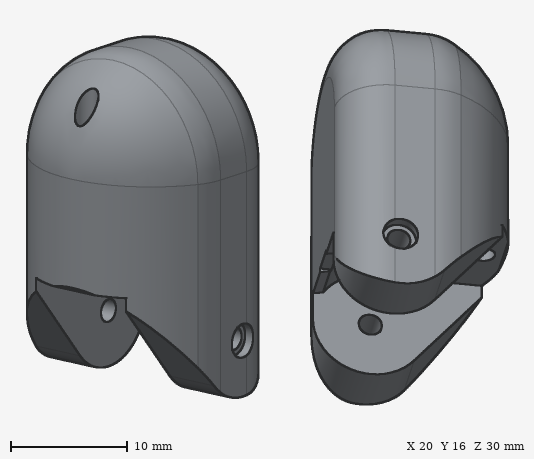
import cadquery as cq
import math

height = 30.0
half_width = height / 3
end_radius = height / 6
back_y = end_radius
depth = 16.0
front_y = back_y - depth
bottom_z = -end_radius
dome_z = bottom_z + height - half_width

back_corner_radius = 4.5
front_corner_radius = end_radius
front_corner_y = -3.0

slope_angle = math.radians(50)

slot_width = half_width
slot_radius = end_radius
lip_thickness = 0.87
lip_drop = 0.18
lip_notch_rise = 0.18
lip_notch_width = 3.0

pin_hole_diameter = 2.0
counterbore_diameter = 3.0
counterbore_depth = 1.0
cord_hole_diameter = 2.0
cord_hole_inset = 2.0
cord_hole_y = front_y + cord_hole_inset

clearance = 2 * height


def box(x_size, y_min, y_max, z_min, z_max):
    """Box centred on X."""
    return cq.Workplane("XY").box(x_size, y_max - y_min, z_max - z_min).translate(
        (0, (y_min + y_max) / 2, (z_min + z_max) / 2)
    )


def x_cylinder(diameter, x_min, x_max):
    """Cylinder on the pin axis."""
    return cq.Workplane("YZ", origin=(x_min, 0, 0)).circle(diameter / 2).extrude(x_max - x_min)


def half_section():
    """Right half of the horizontal section, closed along X = 0."""
    corner_x = half_width - front_corner_radius
    front_reach = front_corner_y - front_y
    front_radius = (corner_x**2 + front_reach**2 - front_corner_radius**2) / (
        2 * (front_reach - front_corner_radius)
    )
    front_center_y = front_y + front_radius
    tangent_angle = math.atan2(front_center_y - front_corner_y, corner_x)

    def front_point(angle):
        return (front_radius * math.cos(angle), front_center_y - front_radius * math.sin(angle))

    corner_middle = (
        corner_x + front_corner_radius * math.cos(tangent_angle / 2),
        front_corner_y - front_corner_radius * math.sin(tangent_angle / 2),
    )
    back_corner_x = half_width - back_corner_radius
    back_corner_y = back_y - back_corner_radius
    diagonal = back_corner_radius * math.sqrt(0.5)
    return (
        cq.Workplane("XY", origin=(0, 0, dome_z))
        .moveTo(0, back_y)
        .lineTo(back_corner_x, back_y)
        .threePointArc((back_corner_x + diagonal, back_corner_y + diagonal), (half_width, back_corner_y))
        .lineTo(half_width, front_corner_y)
        .threePointArc(corner_middle, front_point(tangent_angle))
        .threePointArc(front_point((tangent_angle + math.pi / 2) / 2), (0, front_y))
        .close()
    )


def domed_body():
    """Straight column topped by the same section turned about a Y axis."""
    right_half = half_section().extrude(bottom_z - dome_z)
    column = right_half.union(right_half.mirror("YZ"))
    dome = half_section().revolve(360, (0, 0, 0), (0, 1, 0))
    return column.union(dome.intersect(box(clearance, -clearance, clearance, dome_z, clearance)))


def side_envelope():
    """Side outline with the round lower end and the tangent sloping underside."""
    tangent_y = -end_radius * math.sin(slope_angle)
    tangent_z = -end_radius * math.cos(slope_angle)
    slope_end_y = front_y - end_radius
    slope_end_z = tangent_z + (tangent_y - slope_end_y) * math.tan(slope_angle)
    middle_angle = (slope_angle - math.pi / 2) / 2
    arc_middle = (-end_radius * math.sin(middle_angle), -end_radius * math.cos(middle_angle))
    return (
        cq.Workplane("YZ")
        .moveTo(back_y, 0)
        .threePointArc(arc_middle, (tangent_y, tangent_z))
        .lineTo(slope_end_y, slope_end_z)
        .lineTo(slope_end_y, height)
        .lineTo(back_y, height)
        .close()
        .extrude(half_width, both=True)
    )


def hinge_slot():
    """Slot between the ears: flat roof in front, round behind, with a notched back lip."""
    lip_top_y = back_y - lip_thickness
    lip_top_z = math.sqrt(slot_radius**2 - lip_top_y**2)
    slot = box(slot_width, front_y - end_radius, 0, -height, slot_radius)
    slot = slot.union(x_cylinder(2 * slot_radius, -slot_width / 2, slot_width / 2))
    slot = slot.cut(box(clearance, lip_top_y, clearance, -clearance, clearance))
    back_opening = (
        cq.Workplane("YZ")
        .moveTo(0, -height)
        .lineTo(0, lip_top_z)
        .lineTo(lip_top_y, lip_top_z)
        .lineTo(back_y, lip_top_z - lip_drop)
        .lineTo(back_y, -height)
        .close()
        .extrude(slot_width / 2, both=True)
    )
    notch = box(lip_notch_width, 0, clearance, -height, lip_top_z + lip_notch_rise)
    return slot.union(back_opening).union(notch)


def pin_hole():
    """Through hole for the pin, counterbored at both outer sides."""
    hole = x_cylinder(pin_hole_diameter, -half_width, half_width)
    shoulder_x = half_width - counterbore_depth
    hole = hole.union(x_cylinder(counterbore_diameter, -half_width, -shoulder_x))
    return hole.union(x_cylinder(counterbore_diameter, shoulder_x, half_width))


def cord_hole():
    """Vertical hole from the dome into the slot."""
    return cq.Workplane("XY", origin=(0, cord_hole_y, 0)).circle(cord_hole_diameter / 2).extrude(height)


result = domed_body().intersect(side_envelope()).cut(hinge_slot()).cut(pin_hole()).cut(cord_hole())